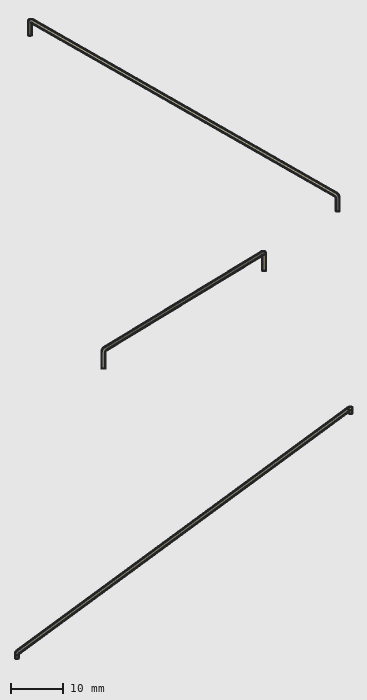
import cadquery as cq
import math

wire_diameter = 0.75
overall_length = 80.75
leg_length = 3.0
bend_radius = 0.6

wire_radius = wire_diameter / 2
leg_x = overall_length / 2 - wire_radius
bar_z = leg_length + bend_radius
bar_end_x = leg_x - bend_radius
bend_mid_offset = bend_radius * math.cos(math.radians(45))


def bend_midpoint(side):
    """Point halfway round a bend; side is -1 at the -X end and +1 at the +X end."""
    return (side * (bar_end_x + bend_mid_offset), leg_length + bend_mid_offset)


def wire_centreline():
    """Up one leg, along the bar and down the other leg, in the XZ plane."""
    return (
        cq.Workplane("XZ")
        .moveTo(-leg_x, 0)
        .lineTo(-leg_x, leg_length)
        .threePointArc(bend_midpoint(-1), (-bar_end_x, bar_z))
        .lineTo(bar_end_x, bar_z)
        .threePointArc(bend_midpoint(1), (leg_x, leg_length))
        .lineTo(leg_x, 0)
    )


result = (
    cq.Workplane("XY")
    .center(-leg_x, 0)
    .circle(wire_radius)
    .sweep(wire_centreline())
)